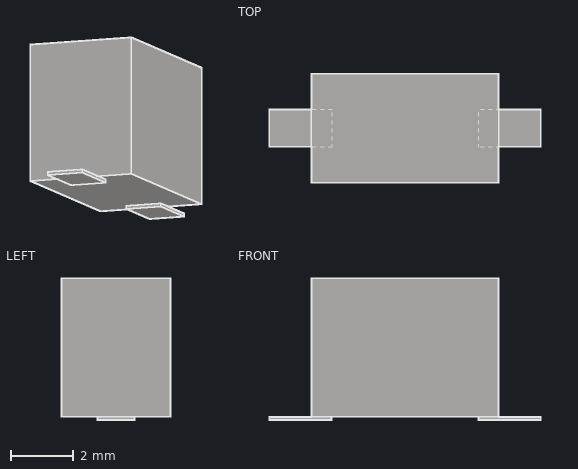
import cadquery as cq

overall_length = 8.7
overall_height = 4.55

housing_length = 6.0
housing_width = 3.5

lead_length = 2.0
lead_width = 1.2
lead_thickness = 0.105

housing_height = overall_height - lead_thickness
lead_center_x = (overall_length - lead_length) / 2


def make_housing():
    """Plain block resting on top of the leads."""
    return (
        cq.Workplane("XY", origin=(0, 0, lead_thickness))
        .box(housing_length, housing_width, housing_height, centered=(True, True, False))
    )


def make_lead(side):
    """Flat strip at the -X end (side = -1) or the +X end (side = 1)."""
    return (
        cq.Workplane("XY", origin=(side * lead_center_x, 0, 0))
        .box(lead_length, lead_width, lead_thickness, centered=(True, True, False))
    )


housing = make_housing()
leads = [make_lead(side) for side in (-1, 1)]

result = cq.Compound.makeCompound([housing.val(), *[lead.val() for lead in leads]])